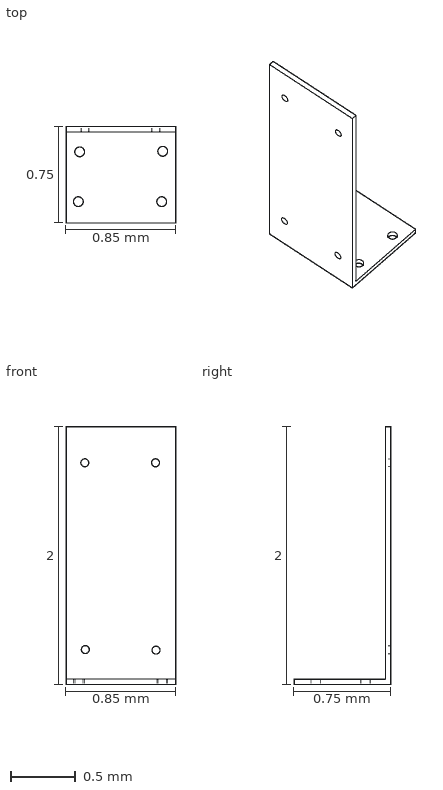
import cadquery as cq

width = 0.85
depth = 0.75
height = 2.0
thickness = 0.045

wall_hole_diameter = 0.06
base_hole_diameter = 0.075

wall_holes = [(0.145, 1.72), (0.692, 1.72), (0.148, 0.272), (0.695, 0.268)]

base_holes = [(0.105, 0.552), (0.748, 0.555), (0.095, 0.165), (0.74, 0.165)]


def make_bracket():
    """Upright wall along the rear edge of a flat base."""
    base = cq.Workplane("XY").box(width, depth, thickness, centered=False)
    wall = (
        cq.Workplane("XY")
        .box(width, thickness, height, centered=False)
        .translate((0, depth - thickness, 0))
    )
    return base.union(wall)


def make_wall_drills():
    """Cylinders along Y that pass through the wall."""
    return (
        cq.Workplane("XZ", origin=(0, depth, 0))
        .pushPoints(wall_holes)
        .circle(wall_hole_diameter / 2)
        .extrude(thickness)
    )


def make_base_drills():
    """Cylinders along Z that pass through the base."""
    return (
        cq.Workplane("XY")
        .pushPoints(base_holes)
        .circle(base_hole_diameter / 2)
        .extrude(thickness)
    )


result = make_bracket().cut(make_wall_drills()).cut(make_base_drills())